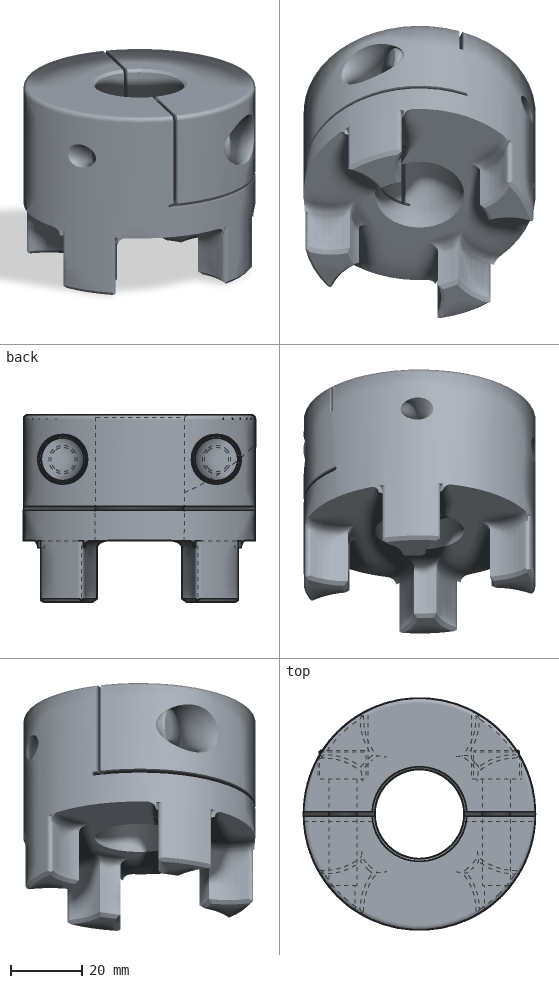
import cadquery as cq
import math

outer_radius = 32.5
total_height = 52.5
jaw_length = 17.2
rim_fillet = 1.3

bore_radius = 12.5
bore_chamfer = 0.8

jaw_count = 4
lobe_radius = 15.7
lobe_offset = 26.65
jaw_inner_radius = 20.2
jaw_corner_fillet = 1.0
jaw_tip_chamfer = 1.0
jaw_root_fillet = 2.0

slit_width = 1.2
relief_slot_depth = 26.8
relief_slot_end_y = -2.0
saw_radius = 62.5
saw_exit_depth = 8.1

screw_x = 21.5
screw_depth = 12.5
shank_radius = 3.95
shank_length = 29.9
head_radius = 6.5
head_height = 8.0
head_chamfer = 0.5
head_seat_y = 9.95
counterbore_radius = 6.95
tap_hole_radius = 3.4

screw_positions = (-screw_x, screw_x)
screw_z = total_height - screw_depth
relief_slot_floor = total_height - relief_slot_depth
shank_tip_y = head_seat_y - shank_length
tolerance = 0.005
overcut = 0.65


def axis_distance(point):
    """Distance of a point from the Z axis."""
    return math.hypot(point.x, point.y)


def y_cylinder(radius, x, y_start, y_end):
    """Cylinder along Y at the screw height."""
    start = cq.Vector(x, y_start, screw_z)
    return cq.Workplane(cq.Solid.makeCylinder(radius, y_end - y_start, start, cq.Vector(0, 1, 0)))


def make_sharp_jaws():
    """Jaws with sharp upright corners and square tips."""
    ring = cq.Workplane("XY").circle(outer_radius).circle(jaw_inner_radius).extrude(jaw_length)
    lobes = (
        cq.Workplane("XY")
        .polarArray(lobe_offset, 0, 360, jaw_count)
        .circle(lobe_radius)
        .extrude(jaw_length)
    )
    return ring.cut(lobes)


def make_corner_trim(sharp_jaws):
    """Slivers to remove from the jaws so that their outer upright corners become round."""
    mid_radius = (outer_radius + jaw_inner_radius) / 2
    outer_corners = sharp_jaws.edges("|Z").filter(lambda edge: axis_distance(edge.Center()) > mid_radius)
    return sharp_jaws.cut(outer_corners.fillet(jaw_corner_fillet))


def fillet_jaw_roots(hub):
    """Round the joint between jaws and hub, except where the jaws are flush with the rim."""

    def is_root(edge):
        in_root_plane = max(abs(edge.positionAt(t).z - jaw_length) for t in (0, 0.5, 1)) < tolerance
        return in_root_plane and axis_distance(edge.positionAt(0.5)) < outer_radius - tolerance

    return hub.edges().filter(is_root).fillet(jaw_root_fillet)


def make_hub_blank():
    """Hub with its jaws and shaft bore, before the slits and screw holes."""
    disc_height = total_height - jaw_length
    disc = cq.Workplane("XY", origin=(0, 0, jaw_length)).circle(outer_radius).extrude(disc_height)
    disc = disc.faces(">Z").edges().fillet(rim_fillet)
    sharp_jaws = make_sharp_jaws()
    chamfered_jaws = sharp_jaws.faces("<Z").edges().chamfer(jaw_tip_chamfer)
    hub = fillet_jaw_roots(disc.union(chamfered_jaws))
    hub = hub.cut(make_corner_trim(sharp_jaws))
    hub = hub.cut(cq.Workplane("XY").circle(bore_radius).extrude(total_height))
    return hub.faces(">Z").edges(cq.selectors.RadiusNthSelector(0)).chamfer(bore_chamfer)


def cut_relief_slot(hub):
    """Horizontal slot under the +Y half, open at +Y, with a round end just past the bore axis."""
    half_width = slit_width / 2
    arc_center_y = relief_slot_end_y + half_width
    open_end_y = outer_radius + overcut
    slot = (
        cq.Workplane("YZ", origin=(0, 0, relief_slot_floor + half_width))
        .moveTo(open_end_y, -half_width)
        .lineTo(arc_center_y, -half_width)
        .threePointArc((relief_slot_end_y, 0), (arc_center_y, half_width))
        .lineTo(open_end_y, half_width)
        .close()
        .extrude(outer_radius + overcut, both=True)
    )
    return hub.cut(slot)


def cut_saw_slit(hub):
    """Vertical slit on Y = 0, sawn in from +X; the round saw leaves a web low on the -X side."""
    exit_drop = relief_slot_depth - saw_exit_depth
    saw_x = -outer_radius + math.sqrt(saw_radius**2 - (saw_radius - exit_drop) ** 2)
    saw_z = relief_slot_floor + saw_radius
    saw = cq.Workplane("XZ", origin=(saw_x, 0, saw_z)).circle(saw_radius).extrude(slit_width / 2, both=True)
    run_length = outer_radius + overcut - saw_x
    saw_run = cq.Workplane("XY", origin=(saw_x, 0, relief_slot_floor)).box(
        run_length, slit_width, relief_slot_depth + overcut, centered=(False, True, False)
    )
    return hub.cut(saw).cut(saw_run)


def cut_screw_holes(hub):
    """Through each screw place: tap hole, shank hole and head counterbore."""
    for x in screw_positions:
        hub = hub.cut(y_cylinder(tap_hole_radius, x, -outer_radius, head_seat_y))
        hub = hub.cut(y_cylinder(shank_radius, x, shank_tip_y, head_seat_y))
        hub = hub.cut(y_cylinder(counterbore_radius, x, head_seat_y, outer_radius))
    return hub


def make_hub():
    """Clamp hub with jaws, slits and screw holes."""
    return cut_screw_holes(cut_saw_slit(cut_relief_slot(make_hub_blank())))


def make_screw(x):
    """Cap screw with its head toward +Y."""
    head = y_cylinder(head_radius, x, head_seat_y, head_seat_y + head_height)
    head = head.faces(">Y").edges().chamfer(head_chamfer)
    return head.union(y_cylinder(shank_radius, x, shank_tip_y, head_seat_y))


hub = make_hub()
screws = [make_screw(x) for x in screw_positions]

result = cq.Compound.makeCompound([hub.val(), *[screw.val() for screw in screws]])